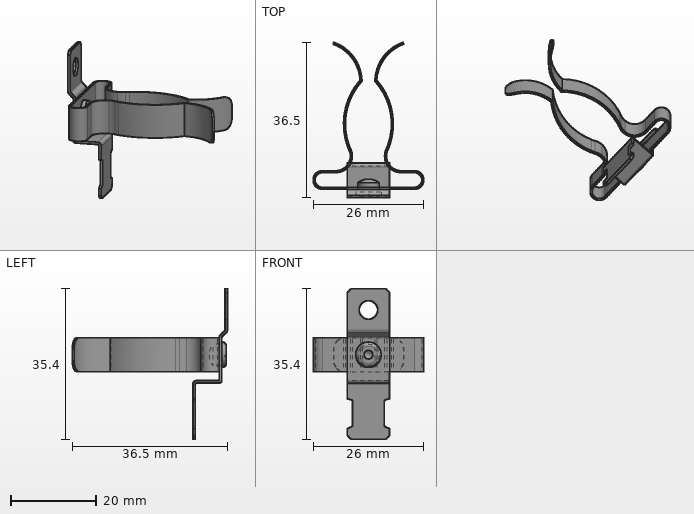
import cadquery as cq
import math

CLIP_THICKNESS = 0.47
CLIP_HEIGHT = 8.03
CLIP_WIDTH = 26.0
END_RADIUS = 2.2
WAIST_RADIUS = 3.65
WAIST_X = 4.0
WAIST_TURN = 28
JAW_START = (4.78, 10.35)
JAW_RADIUS = 15.18
JAW_END = (1.7, 25.55)
LIP_START = (1.75, 25.8)
LIP_RADIUS = 9.67
LIP_TIP = (8.2, 34.3)
TIP_CORNER_RADIUS = 2.75

SHEET_THICKNESS = 0.62
SHEET_WIDTH = 10.0
BEND_INNER_RADIUS = 0.25
FOOT_ROUNDING = 0.6
TAB_FRONT_Y = -1.97
TAB_TOP_Z = 15.5
TAB_BEND_Z = 5.85
SHELF_BOTTOM_Z = -6.68
TONGUE_BACK_Y = 6.2
TONGUE_BOTTOM_Z = -19.9
CORNER_CHAMFER = 0.9
TAB_HOLE_DIAMETER = 4.3
TAB_HOLE_Z = 10.5

NECK_WIDTH = 7.48
NOTCH_TOP_Z = -10.35
NOTCH_BOTTOM_Z = -17.37
NOTCH_TOP_SLOPE = 15
NOTCH_BOTTOM_SLOPE = 25
NOTCH_CORNER_RADIUS = 0.3

RIVET_HEAD_RADIUS = 3.0
RIVET_HEAD_HEIGHT = 1.05
RIVET_HEAD_ROUNDING = 0.95
RIVET_SHANK_RADIUS = 2.5
RIVET_SHANK_END_Y = 1.55
RIVET_DOME_HEIGHT = 0.88
DIMPLE_RADIUS = 1.02
DIMPLE_DEPTH = 0.5


def arc_middle(start, end, radius):
    """Middle of the short arc from start to end; a positive radius turns left."""
    dx = end[0] - start[0]
    dy = end[1] - start[1]
    chord = math.hypot(dx, dy)
    rise = abs(radius) - math.sqrt(max(radius**2 - chord**2 / 4, 0))
    reach = math.copysign(rise, radius) / chord
    return ((start[0] + end[0]) / 2 + dy * reach, (start[1] + end[1]) / 2 - dx * reach)


def headings(start, end, radius):
    """Directions of travel at the start and end of a stretch; radius None is straight."""
    along = math.atan2(end[1] - start[1], end[0] - start[0])
    if radius is None:
        return along, along
    half_turn = math.asin(min(math.dist(start, end) / (2 * abs(radius)), 1))
    half_turn = math.copysign(half_turn, radius)
    return along - half_turn, along + half_turn


def shifted(point, heading_in, heading_out, distance):
    """Point moved to the left of the path, mitred where the path has a sharp bend."""
    half_bend = math.remainder(heading_out - heading_in, 2 * math.pi) / 2
    normal = heading_in + half_bend + math.pi / 2
    length = distance / math.cos(half_bend)
    return (point[0] + length * math.cos(normal), point[1] + length * math.sin(normal))


def bent_strip(plane, start, stretches, thickness, width):
    """Strip along a centre path of (end point, radius) stretches, extruded by width both ways."""
    points = [start] + [end for end, _ in stretches]
    radii = [radius for _, radius in stretches]
    legs = list(zip(points, points[1:], radii))
    turns = [headings(*leg) for leg in legs]
    arriving = [turns[0][0]] + [last for _, last in turns]
    leaving = [first for first, _ in turns] + [turns[-1][1]]

    def side(distance):
        joints = [shifted(p, a, b, distance) for p, a, b in zip(points, arriving, leaving)]
        middles = []
        for leg, (first, last) in zip(legs, turns):
            middle = None
            if leg[2] is not None:
                along = (first + last) / 2
                middle = shifted(arc_middle(*leg), along, along, distance)
            middles.append(middle)
        return joints, middles

    def draw(outline, joints, middles):
        for joint, middle in zip(joints, middles):
            if middle is None:
                outline = outline.lineTo(*joint)
            else:
                outline = outline.threePointArc(middle, joint)
        return outline

    left, left_middles = side(thickness / 2)
    right, right_middles = side(-thickness / 2)
    outline = draw(cq.Workplane(plane).moveTo(*left[0]), left[1:], left_middles)
    outline = outline.lineTo(*right[-1])
    outline = draw(outline, right[-2::-1], right_middles[::-1])
    return outline.close().extrude(width / 2, both=True)


def rivet_hole():
    """Cylinder along Y that clears the rivet shank."""
    length = 4 * RIVET_SHANK_RADIUS
    return cq.Workplane("XZ").circle(RIVET_SHANK_RADIUS).extrude(length / 2, both=True)


def make_clip():
    base_y = CLIP_THICKNESS / 2
    end_radius = END_RADIUS - base_y
    end_x = CLIP_WIDTH / 2 - END_RADIUS
    loop_y = base_y + 2 * end_radius
    waist_x = WAIST_X + WAIST_RADIUS
    waist_y = loop_y + WAIST_RADIUS
    turn = math.radians(WAIST_TURN)
    waist_end = (waist_x - WAIST_RADIUS * math.cos(turn), waist_y + WAIST_RADIUS * math.sin(turn))
    path = [
        ((end_x, base_y), None),
        ((end_x + end_radius, base_y + end_radius), end_radius),
        ((end_x, loop_y), end_radius),
        ((waist_x, loop_y), None),
        ((WAIST_X, waist_y), -WAIST_RADIUS),
        (waist_end, -WAIST_RADIUS),
        (JAW_START, None),
        (JAW_END, JAW_RADIUS),
        (LIP_START, None),
        (LIP_TIP, -LIP_RADIUS),
    ]
    half = bent_strip("XY", (0, base_y), path, CLIP_THICKNESS, CLIP_HEIGHT)
    tip_face = half.faces(cq.selectors.NearestToPointSelector((*LIP_TIP, 0)))
    half = half.newObject(tip_face.edges("<Z or >Z").vals()).fillet(TIP_CORNER_RADIUS)
    return half.union(half.mirror("YZ")).cut(rivet_hole())


def notch(side):
    """Notch cutter on one side (-1 or 1) of the tongue, with sloped ends and rounded corners."""
    inner_x = NECK_WIDTH / 2
    edge_x = SHEET_WIDTH / 2
    depth = edge_x - inner_x
    top_drop = depth * math.tan(math.radians(NOTCH_TOP_SLOPE))
    bottom_rise = depth * math.tan(math.radians(NOTCH_BOTTOM_SLOPE))
    outline = [
        (side * edge_x, NOTCH_TOP_Z),
        (side * inner_x, NOTCH_TOP_Z - top_drop),
        (side * inner_x, NOTCH_BOTTOM_Z + bottom_rise),
        (side * edge_x, NOTCH_BOTTOM_Z),
    ]
    cutter = cq.Workplane("XZ").polyline(outline).close().extrude(2 * TONGUE_BACK_Y, both=True)
    inner_face = "<X" if side > 0 else ">X"
    return cutter.faces(inner_face).edges("|Y").fillet(NOTCH_CORNER_RADIUS)


def make_bracket():
    half = SHEET_THICKNESS / 2
    bend = BEND_INNER_RADIUS + half
    diagonal = math.radians(45)
    bend_y = bend * (1 - math.cos(diagonal))
    bend_z = bend * math.sin(diagonal)
    tab_y = TAB_FRONT_Y + half
    plate_y = -half
    slant = plate_y - tab_y - 2 * bend_y
    slant_top_z = TAB_BEND_Z - bend_z
    slant_bottom_z = slant_top_z - slant
    shelf_z = SHELF_BOTTOM_Z + half
    tongue_y = TONGUE_BACK_Y - half
    path = [
        ((tab_y, TAB_BEND_Z), None),
        ((tab_y + bend_y, slant_top_z), bend),
        ((plate_y - bend_y, slant_bottom_z), None),
        ((plate_y, slant_bottom_z - bend_z), -bend),
        ((plate_y, shelf_z), None),
        ((tongue_y - bend, shelf_z), None),
        ((tongue_y, shelf_z - bend), -bend),
        ((tongue_y, TONGUE_BOTTOM_Z), None),
    ]
    bracket = bent_strip("YZ", (tab_y, TAB_TOP_Z), path, SHEET_THICKNESS, SHEET_WIDTH)

    plate_foot = cq.selectors.NearestToPointSelector((0, -SHEET_THICKNESS, SHELF_BOTTOM_Z))
    bracket = bracket.edges("|X").edges(plate_foot).fillet(FOOT_ROUNDING)

    for end in (">Z", "<Z"):
        bracket = bracket.faces(end).edges("|Y").chamfer(CORNER_CHAMFER)
    tab_hole = (
        cq.Workplane("XZ").center(0, TAB_HOLE_Z).circle(TAB_HOLE_DIAMETER / 2).extrude(-2 * TAB_FRONT_Y)
    )
    bracket = bracket.cut(tab_hole).cut(rivet_hole())
    for side in (-1, 1):
        bracket = bracket.cut(notch(side))
    return bracket


def make_rivet():
    seat_y = -SHEET_THICKNESS
    face_y = seat_y - RIVET_HEAD_HEIGHT
    flat_radius = RIVET_HEAD_RADIUS - RIVET_HEAD_ROUNDING
    rim_y = face_y + RIVET_HEAD_ROUNDING
    dome_tip = (0, RIVET_SHANK_END_Y + RIVET_DOME_HEIGHT)
    dome_rim = (RIVET_SHANK_RADIUS, RIVET_SHANK_END_Y)
    dome_radius = (RIVET_SHANK_RADIUS**2 + RIVET_DOME_HEIGHT**2) / (2 * RIVET_DOME_HEIGHT)
    return (
        cq.Workplane("XY")
        .moveTo(0, face_y + DIMPLE_DEPTH)
        .lineTo(DIMPLE_RADIUS, face_y)
        .lineTo(flat_radius, face_y)
        .threePointArc(
            arc_middle((flat_radius, face_y), (RIVET_HEAD_RADIUS, rim_y), RIVET_HEAD_ROUNDING),
            (RIVET_HEAD_RADIUS, rim_y),
        )
        .lineTo(RIVET_HEAD_RADIUS, seat_y)
        .lineTo(RIVET_SHANK_RADIUS, seat_y)
        .lineTo(*dome_rim)
        .threePointArc(arc_middle(dome_rim, dome_tip, dome_radius), dome_tip)
        .close()
        .revolve(360, (0, 0, 0), (0, 1, 0))
    )


clip = make_clip()
bracket = make_bracket()
rivet = make_rivet()

result = cq.Compound.makeCompound([clip.val(), bracket.val(), rivet.val()])